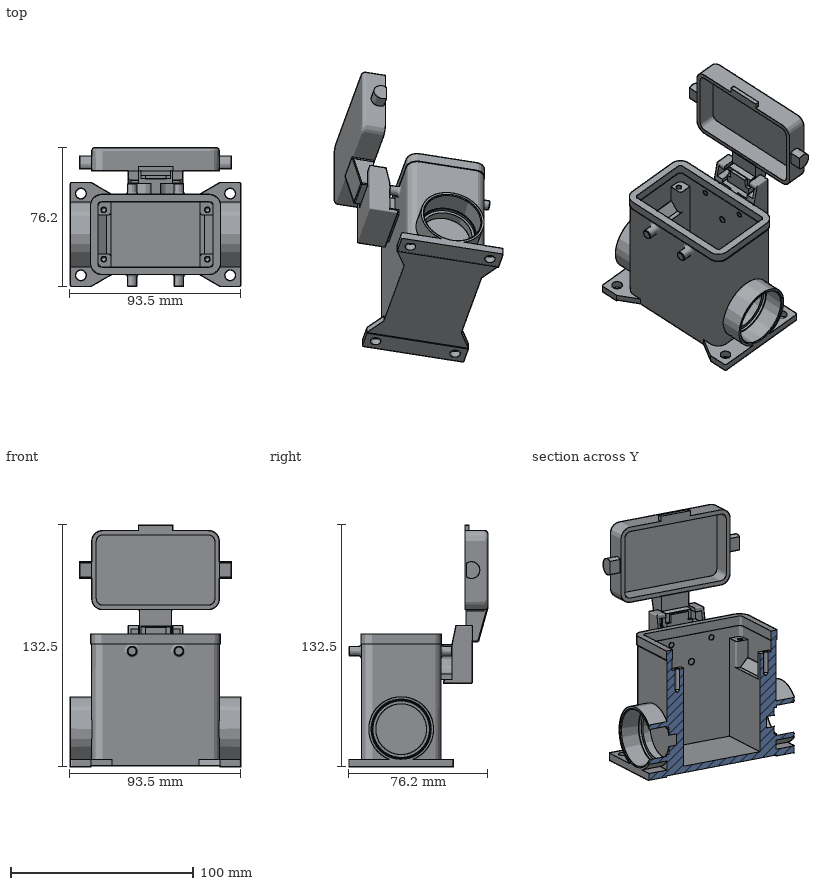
import cadquery as cq
import math

body_length = 70.2
body_width = 43.7
body_bottom = 0.6
body_top = 73.0
body_corner_radius = 6.2
collar_length = 71.2
collar_width = 44.1
collar_bottom = 67.5
wall = 4.0
floor_top = body_bottom + wall

mouth_length = 62.9
mouth_width = 35.7
mouth_corner_radius = 1.5
cavity_step = 0.2
cavity_length = mouth_length + 2 * cavity_step
cavity_width = mouth_width + 2 * cavity_step
cavity_corner_radius = 3.0

post_size = 7.1
post_top = 61.1
post_edge_radius = 1.5
post_inner_x = mouth_length / 2 - post_size
ledge_flat_width = 2.5
ledge_flat_z = 46.0
ledge_wall_z = 50.8
screw_x = 28.4
screw_y = 13.5
screw_diameter = 2.6
screw_depth = 12.0
screw_chamfer = 0.25

overall_length = 93.5
foot_width = 57.2
foot_top = 4.2
foot_flat_x = 35.4
foot_tip_x = 23.8
foot_corner_radius = 1.0
foot_hole_x = 40.9
foot_hole_y = 22.4
foot_hole_diameter = 5.7

entry_z = 20.7
entry_outer_radius = 17.75
entry_bore_radius = 16.0
entry_rim_chamfer = 0.5
entry_bore_depth = 11.4
entry_recess_radius = 15.5
entry_recess_depth = 12.9
entry_hole_radius = 13.9
entry_hole_depth = 17.6

peg_x = 12.8
peg_z = 63.5
peg_diameter = 5.25
peg_flare_radius = 1.5
peg_chamfer = 0.4
peg_tip_y = -foot_width / 2

pad_face_y = 27.8
pad_top = 67.0
pad_stem_half_width = 2.6
pad_stem_bottom = 58.9
pad_flare_x = 5.5
pad_flare_z = 53.5
pad_base_half_width = 12.0
pad_base_top = 51.0
pad_bottom = 47.8

dimple_depth = 0.3
dimple_diameter = 3.0
lower_dimple_diameter = 3.7
lower_dimple_z = 51.7

bracket_half_width = 15.0
bracket_back_y = 39.05
bracket_top = 77.6
bracket_top_front_y = 30.0
bracket_bottom = 45.8
bracket_lip_y = 23.3
bracket_lip_chamfer = 0.6
bracket_edge_radius = 0.7
slot_half_width = 9.3
slot_floor = pad_top
notch_half_width = 13.4
notch_bottom = 69.1
notch_top = 75.5
notch_back_y = 36.0

arm_half_width = 8.8
arm_front_y = 35.5
arm_tail_y = 42.4
arm_bottom = 68.6
arm_edge_chamfer = 0.5
arm_root_flare = 0.6
arm_root_back_y = 45.5
nose_half_width = 8.1
nose_front_y = 32.2
nose_top = 77.3
nose_drop = 0.6
panel_neck_half_width = 5.6
panel_top = 76.3
panel_front_y = 30.4
panel_foot_y = 30.8
panel_shoulder_z = 71.5

cover_length = 70.0
cover_bottom = 86.2
cover_top = 129.6
cover_front_y = 34.9
cover_back_y = 47.65
cover_corner_radius = 6.0
cover_back_radius = 2.0
cover_wall = 2.5
cover_depth = 10.0
cover_inner_radius = 3.5
cover_height = cover_top - cover_bottom
cover_mid_z = (cover_top + cover_bottom) / 2

tab_length = 18.9
tab_thickness = 2.3
tab_top = 132.5
cover_pin_span = 83.2
cover_pin_radius = 4.6
cover_pin_y = 38.5
cover_pin_flat_y = 35.9


def block(x0, x1, y0, y1, z0, z1):
    """Box between two opposite corners."""
    return cq.Workplane("XY").box(x1 - x0, y1 - y0, z1 - z0, centered=False).translate((x0, y0, z0))


def rounded_block(length, width, z0, z1, radius):
    """Upright block centred on the Z axis with rounded vertical edges."""
    half_l = length / 2
    half_w = width / 2
    return block(-half_l, half_l, -half_w, half_w, z0, z1).edges("|Z").fillet(radius)


def cylinder_x(radius, x0, x1, y, z):
    """Cylinder along X."""
    return cq.Workplane("YZ", origin=(x0, 0, 0)).center(y, z).circle(radius).extrude(x1 - x0)


def cylinder_y(radius, y0, y1, x, z):
    """Cylinder along Y."""
    return cq.Workplane("XZ", origin=(x, y0, z)).circle(radius).extrude(y0 - y1)


def both_ends(shape):
    """The shape together with its mirror image across the YZ plane."""
    return shape.union(shape.mirror("YZ"))


def make_shell():
    shell = rounded_block(body_length, body_width, body_bottom, body_top, body_corner_radius)
    collar = rounded_block(collar_length, collar_width, collar_bottom, body_top, body_corner_radius)
    return shell.union(collar)


def make_cavity():
    lower = rounded_block(cavity_length, cavity_width, floor_top, collar_bottom, cavity_corner_radius)
    mouth = rounded_block(mouth_length, mouth_width, collar_bottom, body_top, mouth_corner_radius)
    return lower.union(mouth)


def make_end_block():
    """Ledge with a sloped top and a screw post at each corner, for the +X end."""
    outer_x = body_length / 2 - wall / 2
    half_width = cavity_width / 2 + wall / 2
    ledge = (
        cq.Workplane("XZ", origin=(0, half_width, 0))
        .moveTo(post_inner_x, body_bottom)
        .lineTo(post_inner_x, ledge_flat_z)
        .lineTo(post_inner_x + ledge_flat_width, ledge_flat_z)
        .lineTo(mouth_length / 2, ledge_wall_z)
        .lineTo(outer_x, ledge_wall_z)
        .lineTo(outer_x, body_bottom)
        .close()
        .extrude(2 * half_width)
    )
    post_inner_y = mouth_width / 2 - post_size
    for side in (-1, 1):
        post = block(post_inner_x, outer_x, post_inner_y, half_width, ledge_flat_z, post_top)
        post = post.edges("|Z and <X and <Y").fillet(post_edge_radius)
        if side < 0:
            post = post.mirror("XZ")
        ledge = ledge.union(post)
    envelope = rounded_block(body_length - wall, body_width - wall, body_bottom, body_top, wall)
    return ledge.intersect(envelope)


def make_screw_hole(x, y):
    """Chamfered blind hole with a conical bottom, in the top of a post."""
    radius = screw_diameter / 2
    profile = (
        cq.Workplane("XZ")
        .moveTo(0, post_top)
        .lineTo(radius + screw_chamfer, post_top)
        .lineTo(radius, post_top - screw_chamfer)
        .lineTo(radius, post_top - screw_depth)
        .lineTo(0, post_top - screw_depth - radius)
        .close()
    )
    return profile.revolve(360, (0, 0, 0), (0, 1, 0)).translate((x, y, 0))


def make_foot():
    """Foot plate at the +X end, with a raised underside next to the body."""
    end_x = overall_length / 2
    half_width = foot_width / 2
    tip_y = body_width / 2
    plate = (
        cq.Workplane("XY", origin=(0, 0, body_bottom))
        .polyline([
            (foot_tip_x, -tip_y), (foot_flat_x, -half_width), (end_x, -half_width),
            (end_x, half_width), (foot_flat_x, half_width), (foot_tip_x, tip_y),
        ])
        .close()
        .extrude(foot_top - body_bottom)
    )
    sole = block(foot_flat_x, end_x, -half_width, half_width, 0, body_bottom)
    foot = plate.union(sole).edges("|Z and >X").fillet(foot_corner_radius)
    holes = (
        cq.Workplane("XY")
        .pushPoints([(foot_hole_x, -foot_hole_y), (foot_hole_x, foot_hole_y)])
        .circle(foot_hole_diameter / 2)
        .extrude(foot_top)
    )
    return foot.cut(holes)


def make_entry_bore():
    """Stepped, chamfered blind bore of the -X cable entry."""
    rim_x = -overall_length / 2
    bore = cylinder_x(entry_bore_radius, rim_x, rim_x + entry_bore_depth, 0, entry_z)
    recess = cylinder_x(entry_recess_radius, rim_x, rim_x + entry_recess_depth, 0, entry_z)
    chamfer = (
        cq.Workplane("YZ", origin=(rim_x, 0, 0))
        .center(0, entry_z)
        .circle(entry_bore_radius + entry_rim_chamfer)
        .workplane(offset=entry_rim_chamfer)
        .circle(entry_bore_radius)
        .loft()
    )
    hole = cylinder_x(entry_hole_radius, rim_x, rim_x + entry_hole_depth, 0, entry_z)
    return bore.union(recess).union(hole).union(chamfer)


def make_peg(tip_length, tip_chamfer):
    """Peg pointing to -Y from the origin, with a flared root."""
    radius = peg_diameter / 2
    flare = peg_flare_radius
    bend = flare * (1 - math.sqrt(0.5))
    return (
        cq.Workplane("XY")
        .moveTo(0, wall / 2)
        .lineTo(radius + flare, wall / 2)
        .lineTo(radius + flare, 0)
        .threePointArc((radius + bend, -bend), (radius, -flare))
        .lineTo(radius, -tip_length + tip_chamfer)
        .lineTo(radius - tip_chamfer, -tip_length)
        .lineTo(0, -tip_length)
        .close()
        .revolve(360, (0, 0, 0), (0, 1, 0))
    )


def make_pegs():
    face_y = body_width / 2
    front = make_peg(-peg_tip_y - face_y, peg_chamfer)
    rear = make_peg(pad_face_y - face_y, peg_chamfer / 2).mirror("XZ")
    pegs = cq.Workplane("XY")
    for x in (-peg_x, peg_x):
        pegs = pegs.add(front.translate((x, -face_y, peg_z)))
        pegs = pegs.add(rear.translate((x, face_y, peg_z)))
    return pegs


def make_hinge_pad():
    """Stem that flares out into a wide base, raised from the rear wall."""
    half = (
        cq.Workplane("XZ", origin=(0, pad_face_y, 0))
        .moveTo(0, pad_top)
        .lineTo(pad_stem_half_width, pad_top)
        .lineTo(pad_stem_half_width, pad_stem_bottom)
        .tangentArcPoint((pad_flare_x, pad_flare_z), relative=False)
        .tangentArcPoint((pad_base_half_width, pad_base_top), relative=False)
        .lineTo(pad_base_half_width, pad_bottom)
        .lineTo(0, pad_bottom)
        .close()
        .extrude(pad_face_y - body_width / 2 + wall / 2)
    )
    return both_ends(half)


def make_wall_dimples():
    """Three shallow round dimples in the rear wall of the cavity."""
    start_y = cavity_width / 2
    end_y = start_y + dimple_depth
    dimples = cylinder_y(lower_dimple_diameter / 2, start_y, end_y, 0, lower_dimple_z)
    for x in (-peg_x, peg_x):
        dimples = dimples.union(cylinder_y(dimple_diameter / 2, start_y, end_y, x, peg_z))
    return dimples


def make_bracket():
    """Hinge bracket that rests on the pad, with a lip below it."""
    bracket = (
        cq.Workplane("YZ", origin=(-bracket_half_width, 0, 0))
        .polyline([
            (bracket_back_y, bracket_bottom),
            (bracket_back_y, bracket_top),
            (bracket_top_front_y, bracket_top),
            (pad_face_y, pad_top),
            (pad_face_y, pad_bottom),
            (bracket_lip_y + bracket_lip_chamfer, pad_bottom),
            (bracket_lip_y, pad_bottom - bracket_lip_chamfer),
            (bracket_lip_y, bracket_bottom),
        ])
        .close()
        .extrude(2 * bracket_half_width)
    )
    bracket = bracket.faces(">Y or >Z or <Z").edges().edges("not <Y").fillet(bracket_edge_radius)
    slot = block(-slot_half_width, slot_half_width, pad_face_y, bracket_back_y, slot_floor, bracket_top)
    notch = block(-notch_half_width, notch_half_width, pad_face_y, notch_back_y, notch_bottom, notch_top)
    return bracket.cut(slot).cut(notch)


def make_housing():
    end_x = overall_length / 2
    entry = cylinder_x(entry_outer_radius, post_inner_x, end_x, 0, entry_z)
    housing = make_shell().union(both_ends(make_foot())).union(both_ends(entry))
    housing = housing.union(make_hinge_pad())
    for peg in make_pegs().vals():
        housing = housing.union(cq.Workplane(peg))
    housing = housing.cut(make_cavity()).union(both_ends(make_end_block()))
    for x in (-screw_x, screw_x):
        for y in (-screw_y, screw_y):
            housing = housing.cut(make_screw_hole(x, y))
    housing = housing.cut(both_ends(make_entry_bore()))
    return housing.cut(make_wall_dimples()).union(make_bracket())


def make_arm():
    """Arm from the back of the cover down into the slot of the bracket."""
    arm = (
        cq.Workplane("YZ", origin=(-arm_half_width, 0, 0))
        .polyline([
            (arm_front_y, cover_bottom + cover_wall / 2),
            (arm_front_y, arm_bottom),
            (arm_tail_y, arm_bottom),
            (cover_back_y, cover_bottom + cover_wall / 2),
        ])
        .close()
        .extrude(2 * arm_half_width)
    )
    arm = arm.faces(">Y or <Z").edges("not <Y").chamfer(arm_edge_chamfer)
    root = (
        cq.Workplane("XZ", origin=(0, arm_front_y, 0))
        .polyline([
            (-slot_half_width, cover_bottom + cover_wall / 2),
            (-slot_half_width, cover_bottom),
            (-arm_half_width, cover_bottom - arm_root_flare),
            (arm_half_width, cover_bottom - arm_root_flare),
            (slot_half_width, cover_bottom),
            (slot_half_width, cover_bottom + cover_wall / 2),
        ])
        .close()
        .extrude(arm_front_y - arm_root_back_y)
    )
    return arm.union(root).union(make_nose())


def make_nose():
    """Stepped nose at the foot of the arm, with a tilted panel that is narrower at the top."""
    nose = (
        cq.Workplane("YZ", origin=(-nose_half_width, 0, 0))
        .polyline([
            (arm_front_y, nose_top),
            (nose_front_y, nose_top - nose_drop),
            (nose_front_y, slot_floor),
            (arm_front_y, arm_bottom),
        ])
        .close()
        .extrude(2 * nose_half_width)
    )
    panel = (
        cq.Workplane("YZ", origin=(-nose_half_width, 0, 0))
        .polyline([
            (nose_front_y, panel_top),
            (panel_front_y, panel_top),
            (panel_foot_y, slot_floor),
            (nose_front_y, slot_floor),
        ])
        .close()
        .extrude(2 * nose_half_width)
    )
    for left_x, right_x in (
        (-nose_half_width, -panel_neck_half_width),
        (panel_neck_half_width, nose_half_width),
    ):
        panel = panel.cut(block(left_x, right_x, panel_front_y, nose_front_y, panel_shoulder_z, panel_top))
    return nose.union(panel)


def make_lid():
    half_length = cover_length / 2
    lid = block(-half_length, half_length, cover_front_y, cover_back_y, cover_bottom, cover_top)
    lid = lid.edges("|Y").fillet(cover_corner_radius)
    lid = lid.faces(">Y").edges().fillet(cover_back_radius)
    hollow = (
        cq.Workplane("XZ", origin=(0, cover_front_y, cover_mid_z))
        .rect(cover_length - 2 * cover_wall, cover_height - 2 * cover_wall)
        .extrude(-cover_depth)
        .edges("|Y")
        .fillet(cover_inner_radius)
    )
    return lid.cut(hollow)


def make_tab():
    half = tab_length / 2
    back_y = cover_front_y + tab_thickness
    return block(-half, half, cover_front_y, back_y, cover_top - cover_wall, tab_top)


def make_cover_pin():
    """Pin at the +X end of the lid, with a flat facing the front."""
    inner_x = cover_length / 2 - cover_wall / 2
    outer_x = cover_pin_span / 2
    pin = cylinder_x(cover_pin_radius, inner_x, outer_x, cover_pin_y, cover_mid_z)
    low_z = cover_mid_z - cover_pin_radius
    high_z = cover_mid_z + cover_pin_radius
    return pin.cut(block(inner_x, outer_x, cover_front_y - cover_pin_radius, cover_pin_flat_y, low_z, high_z))


def make_cover():
    cover = make_lid().union(make_tab()).union(both_ends(make_cover_pin()))
    return cover.union(make_arm())


housing = make_housing()
cover = make_cover()
result = cq.Compound.makeCompound([housing.val(), cover.val()])